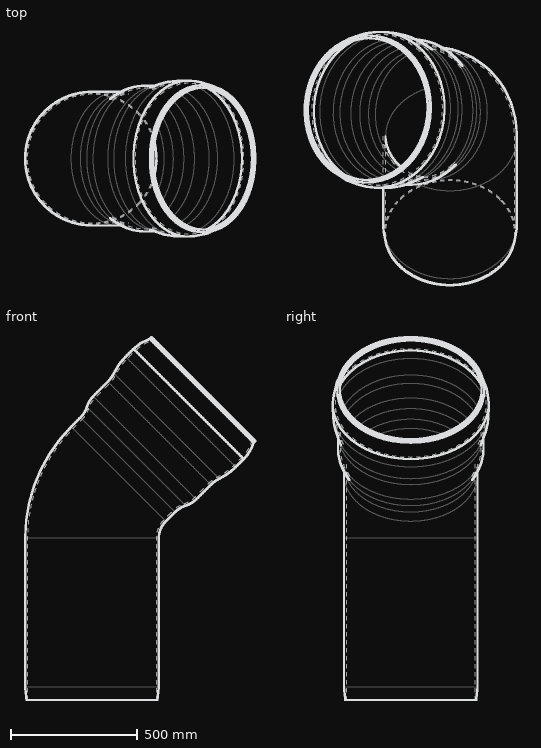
import cadquery as cq
import math

wall = 10.0
pipe_radius = 530.0 / 2
pipe_length = 641.0
bevel_length = 52.0
bevel_depth = 6.0

bend_radius = 359.0
bend_angle = 45.0

socket_radius = 578.0 / 2
bulge_radius = 618.0 / 2
rim_radius = 582.0 / 2

neck_start = 52.0
neck_end = 147.0
flare_start = 228.0
flare_middle = 269.0
flare_end = 348.0
bulge_end = 392.0
lip_start = 465.0
rim_end = 475.0

angle = math.radians(bend_angle)
socket_plane = cq.Plane(
    origin=(
        bend_radius * (1 - math.cos(angle)),
        0,
        pipe_length + bend_radius * math.sin(angle),
    ),
    xDir=(math.cos(angle), 0, -math.sin(angle)),
    normal=(0, -1, 0),
)


def revolve_profile(profile):
    """Turn a closed (radius, height) profile a full turn about its plane's local y axis."""
    return profile.close().revolve(360, (0, 0, 0), (0, 1, 0))


def make_pipe():
    """Straight pipe with a slightly bevelled lower end."""
    inner_radius = pipe_radius - wall
    profile = (
        cq.Workplane("XZ")
        .moveTo(inner_radius, 0)
        .lineTo(pipe_radius - bevel_depth, 0)
        .lineTo(pipe_radius, bevel_length)
        .lineTo(pipe_radius, pipe_length)
        .lineTo(inner_radius, pipe_length)
    )
    return revolve_profile(profile)


def make_bend():
    """Curved stretch of pipe between the straight pipe and the socket."""
    return (
        cq.Workplane("XY", origin=(0, 0, pipe_length))
        .circle(pipe_radius)
        .circle(pipe_radius - wall)
        .revolve(bend_angle, (bend_radius, 0, 0), (bend_radius, 1, 0))
    )


def socket_surface(inset):
    """Solid bounded by the socket's stepped outline, moved inward by inset."""
    pipe_r = pipe_radius - inset
    socket_r = socket_radius - inset
    bulge_r = bulge_radius - inset
    neck_middle = (neck_start + neck_end) / 2
    neck_middle_r = (pipe_r + socket_r) / 2
    flare_share = (flare_middle - flare_start) / (flare_end - flare_start)
    flare_middle_r = socket_r + flare_share * (bulge_r - socket_r)
    profile = (
        cq.Workplane(socket_plane)
        .moveTo(0, 0)
        .lineTo(pipe_r, 0)
        .lineTo(pipe_r, neck_start)
        .tangentArcPoint((neck_middle_r, neck_middle), relative=False)
        .tangentArcPoint((socket_r, neck_end), relative=False)
        .lineTo(socket_r, flare_start)
        .tangentArcPoint((flare_middle_r, flare_middle), relative=False)
        .tangentArcPoint((bulge_r, flare_end), relative=False)
        .lineTo(bulge_r, bulge_end)
        .lineTo(0, bulge_end)
    )
    return revolve_profile(profile)


def make_socket():
    """Stepped socket wall, from the bend to the end of the bulge."""
    return socket_surface(0).cut(socket_surface(wall))


def make_retaining_ring():
    """Ring that curves inward from the end of the bulge to a short straight lip."""
    length = lip_start - bulge_end
    drop = bulge_radius - rim_radius
    arc_radius = (length**2 + drop**2) / (2 * drop)
    half_turn = math.asin(length / arc_radius) / 2
    middle_drop = arc_radius * (1 - math.cos(half_turn))
    middle_height = bulge_end + arc_radius * math.sin(half_turn)
    outer_middle = (bulge_radius - middle_drop, middle_height)
    inner_middle = (bulge_radius - wall - middle_drop, middle_height)
    profile = (
        cq.Workplane(socket_plane)
        .moveTo(bulge_radius, bulge_end)
        .threePointArc(outer_middle, (rim_radius, lip_start))
        .lineTo(rim_radius, rim_end)
        .lineTo(rim_radius - wall, rim_end)
        .lineTo(rim_radius - wall, lip_start)
        .threePointArc(inner_middle, (bulge_radius - wall, bulge_end))
    )
    return revolve_profile(profile)


elbow = make_pipe().union(make_bend()).union(make_socket())
retaining_ring = make_retaining_ring()

result = cq.Compound.makeCompound([elbow.val(), retaining_ring.val()])